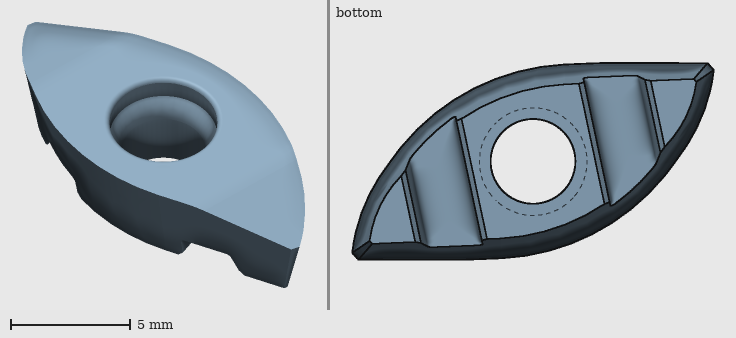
import cadquery as cq
import math

thickness = 4.3
wall_draft = 11.0
wall_inset = thickness * math.tan(math.radians(wall_draft))

flank_center = (1.79, 5.36)
flank_radius = 9.44
flank_start_angle = -92.9
flank_end_angle = -140.9
tip_start_top = (-6.04, 0.05)
tip_start_bottom = (-5.37, 0.45)
tip_middle_top = (-7.4, 2.34)
tip_middle_bottom = (-6.51, 2.06)
tip_end_top = (-7.82, 3.99)
tip_end_bottom = (-6.86, 3.34)
corner_top = (-7.5, 4.33)
corner_bottom = (-6.75, 3.46)

ridge_direction = 58.0
slope_angle = 15.0
ridge_distance = 4.34
ridge_blend_radius = 2.88
slope_reach = 12.15

rim_radius = 2.49
counterbore_radius = 2.26
hole_radius = 1.78
rim_depth = 0.17
seat_start_depth = 0.99
seat_depth = 0.91

slot_position = (3.42, -3.42)
slot_tilt = 12.0
slot_half_width = 1.49
slot_depth = 1.28
slot_chamfer_width = 0.23
slot_chamfer_height = 0.27
slot_slope_run = 0.3
slot_corner_radius = 0.25
slot_reach = 12.15


def polar(radius, angle):
    """Point on a circle around the center of the curved side."""
    a = math.radians(angle)
    return (flank_center[0] + radius * math.cos(a), flank_center[1] + radius * math.sin(a))


def opposite(point):
    return (-point[0], -point[1])


def outline(workplane, radius, tip_start, tip_middle, tip_end, corner):
    """Closed outline made of two identical halves."""
    middle_angle = (flank_start_angle + flank_end_angle) / 2
    start = polar(radius, flank_start_angle)
    middle = polar(radius, middle_angle)
    end = polar(radius, flank_end_angle)
    sketch = workplane.moveTo(*start)
    sketch = sketch.threePointArc(middle, end).lineTo(*tip_start).threePointArc(tip_middle, tip_end)
    sketch = sketch.lineTo(*corner).lineTo(*opposite(start))
    sketch = sketch.threePointArc(opposite(middle), opposite(end)).lineTo(*opposite(tip_start))
    sketch = sketch.threePointArc(opposite(tip_middle), opposite(tip_end))
    return sketch.lineTo(*opposite(corner)).close()


def half_turn(shape):
    return shape.rotate((0, 0, 0), (0, 0, 1), 180)


def make_blank():
    bottom = outline(
        cq.Workplane("XY"),
        flank_radius - wall_inset,
        tip_start_bottom,
        tip_middle_bottom,
        tip_end_bottom,
        corner_bottom,
    )
    both = outline(
        bottom.workplane(offset=thickness),
        flank_radius,
        tip_start_top,
        tip_middle_top,
        tip_end_top,
        corner_top,
    )
    return both.loft(ruled=True, combine=True)


def make_slope_cutter():
    """Material above one end slope, seen in section across the ridge."""
    angle = math.radians(slope_angle)
    ridge = math.radians(ridge_direction)
    blend_middle = (
        ridge_distance + ridge_blend_radius * math.sin(angle / 2),
        thickness - ridge_blend_radius * (1 - math.cos(angle / 2)),
    )
    blend_end = (
        ridge_distance + ridge_blend_radius * math.sin(angle),
        thickness - ridge_blend_radius * (1 - math.cos(angle)),
    )
    far_height = blend_end[1] - (slope_reach - blend_end[0]) * math.tan(angle)
    section = cq.Plane(
        origin=(0, 0, 0),
        xDir=(math.sin(ridge), -math.cos(ridge), 0),
        normal=(-math.cos(ridge), -math.sin(ridge), 0),
    )
    return (
        cq.Workplane(section)
        .moveTo(ridge_distance, thickness)
        .threePointArc(blend_middle, blend_end)
        .lineTo(slope_reach, far_height)
        .lineTo(slope_reach, thickness)
        .close()
        .extrude(slope_reach, both=True)
    )


def make_slot_cutter():
    """Slot with an upright inner wall, a leaning outer wall and chamfered mouth."""
    tilt = math.radians(slot_tilt)
    section = cq.Plane(
        origin=(*slot_position, 0),
        xDir=(math.cos(tilt), -math.sin(tilt), 0),
        normal=(-math.sin(tilt), -math.cos(tilt), 0),
    )
    wall = slot_half_width - slot_chamfer_width
    profile = [
        (-slot_half_width, 0),
        (-wall, slot_chamfer_height),
        (-wall, slot_depth),
        (wall - slot_slope_run, slot_depth),
        (wall, slot_chamfer_height),
        (slot_half_width, 0),
    ]
    slot = cq.Workplane(section).polyline(profile).close().extrude(slot_reach, both=True)
    along_slot = cq.selectors.ParallelDirSelector(section.zDir)
    return slot.faces(">Z").edges(along_slot).fillet(slot_corner_radius)


def make_hole_cutter():
    """Revolved hole: rounded rim, counterbore, convex seat and through bore."""
    seat_top = thickness - seat_start_depth
    seat_bottom = seat_top - seat_depth
    step = counterbore_radius - hole_radius
    seat_radius = (step**2 + seat_depth**2) / (2 * step)
    seat_half_sweep = math.asin(seat_depth / seat_radius) / 2
    seat_middle = (
        hole_radius + seat_radius * (1 - math.cos(seat_half_sweep)),
        seat_bottom + seat_radius * math.sin(seat_half_sweep),
    )
    rim_width = rim_radius - counterbore_radius
    rim_arc_radius = (rim_width**2 + rim_depth**2) / (2 * rim_depth)
    rim_half_sweep = math.atan(rim_depth / rim_width)
    rim_middle = (
        rim_radius - rim_arc_radius * math.sin(rim_half_sweep),
        thickness - rim_arc_radius * (1 - math.cos(rim_half_sweep)),
    )
    return (
        cq.Workplane("XZ")
        .lineTo(hole_radius, 0)
        .lineTo(hole_radius, seat_bottom)
        .threePointArc(seat_middle, (counterbore_radius, seat_top))
        .lineTo(counterbore_radius, thickness - rim_depth)
        .threePointArc(rim_middle, (rim_radius, thickness))
        .lineTo(0, thickness)
        .close()
        .revolve(360, (0, 0, 0), (0, 1, 0))
    )


result = make_blank().cut(make_hole_cutter())
for cutter in (make_slope_cutter(), make_slot_cutter()):
    result = result.cut(cutter).cut(half_turn(cutter))